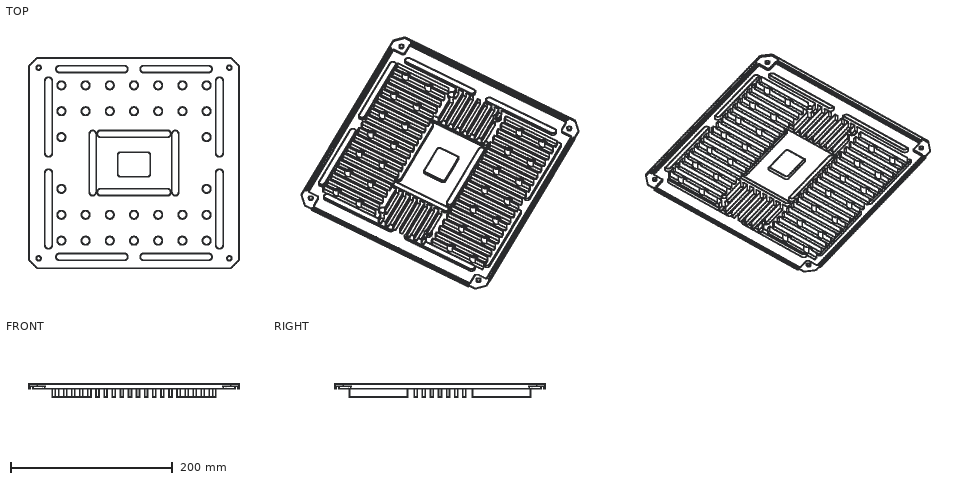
import cadquery as cq

plate_side = 260.0
total_height = 16.0
plate_thickness = 6.0
corner_chamfer = 10.5

recess_depth = 3.0
recess_side = 20.0
recess_radius = 3.0
screw_hole_diameter = 5.5
screw_hole_spacing = 235.5
groove_inner_side = 250.0
groove_width = 2.9

hole_diameter = 10.0
hole_pitch_x = 30.0
hole_pitch_y = 32.0
hole_columns = 3
hole_rows = 3
full_rows_from = 2

slot_width = 8.0
side_slot_width = 8.8
slot_web = 15.5
edge_slot_length = 88.5
edge_slot_offset = 116.0
side_slot_length = 98.0
side_slot_offset = 105.5
frame_slot_length_x = 90.5
frame_slot_length_y = 80.0
frame_slot_offset_x = 51.0
frame_slot_offset_y = frame_slot_length_y / 2 - slot_width / 2

window_width = 40.0
window_height = 30.0
window_center_y = -1.8
window_radius = 3.0

fin_width = 4.0
fin_count_along_y = 20
fin_count_along_x = 7
fin_row_span = 190.0
fin_pitch = fin_row_span / (fin_count_along_y - 1)
fin_height = total_height - plate_thickness
fin_overlap = 1.3

y_fin_start = frame_slot_offset_y + slot_width / 2
y_fin_end = edge_slot_offset - slot_width / 2
x_fin_start = frame_slot_offset_x + slot_width / 2
x_fin_end = side_slot_offset - side_slot_width / 2


def bottom_plane():
    """Workplane at the free ends of the fins, the lowest level of the part."""
    return cq.Workplane("XY").workplane(offset=-fin_height)


def mirrored(x, y):
    """The four points that share the distances x and y from the center."""
    return [(x, y), (-x, y), (-x, -y), (x, -y)]


def fin_positions(count):
    """Fin center distances, evenly spaced about the middle."""
    return [(i - (count - 1) / 2) * fin_pitch for i in range(count)]


def make_plate():
    """Square plate with cut corners; its underside lies on Z = 0."""
    blank = cq.Workplane("XY").rect(plate_side, plate_side).extrude(plate_thickness)
    return blank.edges("|Z").chamfer(corner_chamfer)


def make_fins():
    """Fins along Y at the front and back, fins along X at the left and right."""
    y_length = y_fin_end - y_fin_start
    y_middle = (y_fin_start + y_fin_end) / 2
    x_length = x_fin_end - x_fin_start
    x_middle = (x_fin_start + x_fin_end) / 2
    y_points = [(x, side * y_middle) for x in fin_positions(fin_count_along_y) for side in (-1, 1)]
    x_points = [(side * x_middle, y) for y in fin_positions(fin_count_along_x) for side in (-1, 1)]
    reach = fin_height + fin_overlap
    y_fins = bottom_plane().pushPoints(y_points).rect(fin_width, y_length).extrude(reach)
    x_fins = bottom_plane().pushPoints(x_points).rect(x_length, fin_width).extrude(reach)
    return y_fins.union(x_fins)


def make_slots():
    """Paired slots along the four edges and a frame of four slots in the middle."""
    edge_points = mirrored((slot_web + edge_slot_length) / 2, edge_slot_offset)
    side_points = mirrored(side_slot_offset, (slot_web + side_slot_length) / 2)
    frame_x_points = [(0, -frame_slot_offset_y), (0, frame_slot_offset_y)]
    frame_y_points = [(-frame_slot_offset_x, 0), (frame_slot_offset_x, 0)]
    groups = [
        (edge_points, edge_slot_length, slot_width, 0),
        (side_points, side_slot_length, side_slot_width, 90),
        (frame_x_points, frame_slot_length_x, slot_width, 0),
        (frame_y_points, frame_slot_length_y, slot_width, 90),
    ]
    slots = cq.Workplane("XY")
    for points, length, width, angle in groups:
        group = bottom_plane().pushPoints(points).slot2D(length, width, angle)
        slots = slots.add(group.extrude(total_height))
    return slots.combine()


def make_holes():
    """Grid of round holes: full outer rows, and only the end holes in the inner rows."""
    points = []
    for row in range(1, hole_rows + 1):
        for column in range(-hole_columns, hole_columns + 1):
            if row >= full_rows_from or abs(column) == hole_columns:
                points.append((column * hole_pitch_x, row * hole_pitch_y))
                points.append((column * hole_pitch_x, -row * hole_pitch_y))
    return bottom_plane().pushPoints(points).circle(hole_diameter / 2).extrude(total_height)


def make_screw_holes():
    """One screw hole in each corner."""
    half = screw_hole_spacing / 2
    holes = bottom_plane().pushPoints(mirrored(half, half)).circle(screw_hole_diameter / 2)
    return holes.extrude(total_height)


def make_window():
    """Rounded rectangular opening, slightly off the plate center toward -Y."""
    outline = bottom_plane().center(0, window_center_y).rect(window_width, window_height)
    window = outline.extrude(total_height)
    return window.edges("|Z").fillet(window_radius)


def make_corner_recesses():
    """Square recesses in the underside at the plate corners, each rounded at its inner corner."""
    center = plate_side / 2
    blocks = cq.Workplane("XY").pushPoints(mirrored(center, center))
    blocks = blocks.rect(2 * recess_side, 2 * recess_side).extrude(recess_depth)
    return blocks.edges("|Z").fillet(recess_radius)


def make_groove():
    """Square groove in the underside that follows the plate edge."""
    outer_side = groove_inner_side + 2 * groove_width
    ring = cq.Workplane("XY").rect(outer_side, outer_side).rect(groove_inner_side, groove_inner_side)
    return ring.extrude(recess_depth)


result = make_plate().union(make_fins())
for cut in (
    make_slots(),
    make_holes(),
    make_screw_holes(),
    make_window(),
    make_corner_recesses(),
    make_groove(),
):
    result = result.cut(cut)